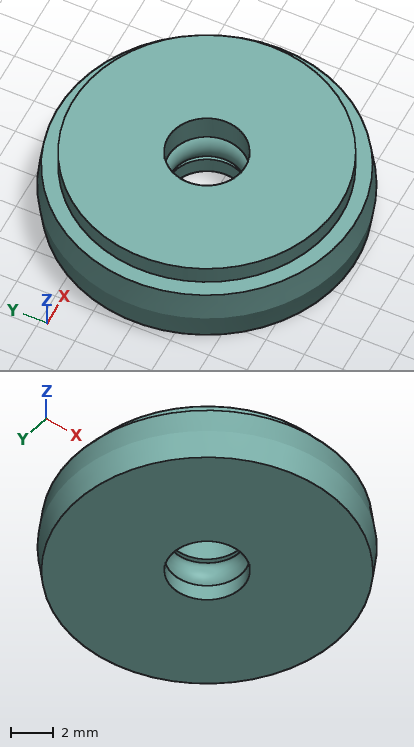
import cadquery as cq

rim_diameter = 15.9
rim_edge_diameter = 15.5
rim_height = 3.0
face_diameter = 13.93
face_height = 1.0
total_height = rim_height + face_height

bore_diameter = 4.0
ring_inner_diameter = 3.5
ring_section_diameter = 1.7
groove_height = ring_section_diameter
groove_diameter = ring_inner_diameter + 2 * ring_section_diameter
ring_center_radius = (ring_inner_diameter + ring_section_diameter) / 2
ring_center_height = 1.75


def make_disc():
    """Revolve the outer profile about Z, then cut the bore and its groove."""
    blank = (
        cq.Workplane("XZ")
        .moveTo(0, 0)
        .lineTo(rim_edge_diameter / 2, 0)
        .lineTo(rim_diameter / 2, rim_height / 2)
        .lineTo(rim_edge_diameter / 2, rim_height)
        .lineTo(face_diameter / 2, rim_height)
        .lineTo(face_diameter / 2, total_height)
        .lineTo(0, total_height)
        .close()
        .revolve(360, (0, 0, 0), (0, 1, 0))
    )
    bore = cq.Workplane("XY").circle(bore_diameter / 2).extrude(total_height)
    groove = (
        cq.Workplane("XY")
        .workplane(offset=ring_center_height - groove_height / 2)
        .circle(groove_diameter / 2)
        .extrude(groove_height)
    )
    return blank.cut(bore).cut(groove)


def make_sealing_ring():
    """Round-section ring that fills the groove and stands proud of the bore wall."""
    return (
        cq.Workplane("XZ")
        .center(ring_center_radius, ring_center_height)
        .circle(ring_section_diameter / 2)
        .revolve(360, (-ring_center_radius, 0, 0), (-ring_center_radius, 1, 0))
    )


disc = make_disc()
sealing_ring = make_sealing_ring()

result = cq.Compound.makeCompound([disc.val(), sealing_ring.val()])